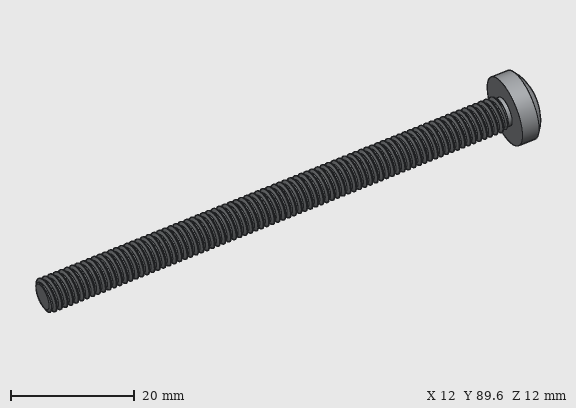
import cadquery as cq
import math

total_length = 89.6

head_diameter = 12.0
head_height = 4.7
dome_height = 1.6
dome_bulge = 0.2
crown_diameter = 6.8

neck_diameter = 5.0
neck_length = 0.7

thread_diameter = head_diameter / 2
pitch = thread_diameter / 6
crest_width = pitch / 8
root_width = pitch / 4
flank_angle = 30
start_angle = 240
runout_length = 0.6
tip_radius = 2.2
tip_chamfer_length = 0.4
trim_clearance = 0.2
spare_turns_below = 2
spare_turns_above = 1

head_radius = head_diameter / 2
crown_radius = crown_diameter / 2
neck_radius = neck_diameter / 2
crest_radius = thread_diameter / 2
flank_width = (pitch - crest_width - root_width) / 2
thread_depth = flank_width / math.tan(math.radians(flank_angle))
root_radius = crest_radius - thread_depth
shank_length = total_length - head_height
thread_length = shank_length - neck_length


def helix_turn(radius, height):
    """One right-handed turn of a helix, starting at the given height."""
    return cq.Wire.makeHelix(pitch, pitch, radius, cq.Vector(0, 0, height))


def make_threaded_rod():
    """Solid threaded rod, a few turns longer than the finished thread."""
    profile = [
        (root_radius, 0),
        (root_radius, root_width),
        (crest_radius, root_width + flank_width),
        (crest_radius, root_width + flank_width + crest_width),
        (root_radius, pitch),
    ]
    turns = math.ceil(thread_length / pitch) + spare_turns_below + spare_turns_above

    faces = []
    for turn in range(turns):
        edges = [helix_turn(radius, turn * pitch + height) for radius, height in profile]
        for lower, upper in zip(edges, edges[1:]):
            faces.append(cq.Face.makeRuledSurface(lower, upper))

    for base in (0, turns * pitch):
        axis_bottom = cq.Vector(0, 0, base)
        axis_top = cq.Vector(0, 0, base + pitch)
        axis_line = cq.Wire.assembleEdges([cq.Edge.makeLine(axis_bottom, axis_top)])
        faces.append(cq.Face.makeRuledSurface(axis_line, helix_turn(root_radius, base)))
        step = [cq.Vector(radius, 0, base + height) for radius, height in profile]
        outline = cq.Wire.makePolygon([axis_bottom, *step, axis_top], close=True)
        faces.append(cq.Face.makeFromWires(outline))

    rod = cq.Solid.makeSolid(cq.Shell.makeShell(faces)).fix()
    return (
        cq.Workplane(obj=rod)
        .translate((0, 0, -spare_turns_below * pitch))
        .rotate((0, 0, 0), (0, 0, 1), start_angle)
    )


def make_thread_envelope():
    """Outer limit of the thread: chamfered at the tip, running out to the root at the neck."""
    outer_radius = crest_radius + trim_clearance
    return (
        cq.Workplane("XZ")
        .lineTo(tip_radius, 0)
        .lineTo(crest_radius, tip_chamfer_length)
        .lineTo(outer_radius, tip_chamfer_length)
        .lineTo(outer_radius, thread_length - runout_length)
        .lineTo(root_radius, thread_length)
        .lineTo(0, thread_length)
        .close()
        .revolve(360, (0, 0, 0), (0, 1, 0))
    )


def make_neck_and_head():
    """Plain neck under a pan head whose top is domed up to a flat crown."""
    rim_height = total_length - dome_height
    return (
        cq.Workplane("XZ")
        .moveTo(0, thread_length)
        .lineTo(neck_radius, thread_length)
        .lineTo(neck_radius, shank_length)
        .lineTo(head_radius, shank_length)
        .lineTo(head_radius, rim_height)
        .sagittaArc((crown_radius, total_length), -dome_bulge)
        .lineTo(0, total_length)
        .close()
        .revolve(360, (0, 0, 0), (0, 1, 0))
    )


thread = make_threaded_rod().intersect(make_thread_envelope())
screw = thread.union(make_neck_and_head())

result = screw.rotate((0, 0, 0), (1, 0, 0), -90)